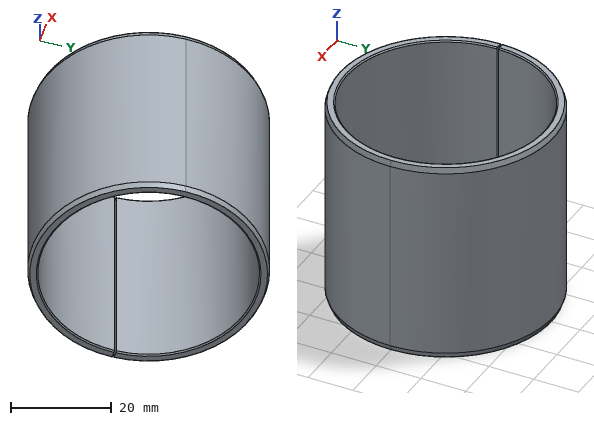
import cadquery as cq

outer_diameter = 48.0
wall = 2.0
length = 45.0

outer_chamfer_length = 1.2
outer_chamfer_depth = 0.45
bore_chamfer = 0.3

slit_width = 0.4

outer_radius = outer_diameter / 2
bore_radius = outer_radius - wall
half_length = length / 2


def make_sleeve():
    """Revolve the chamfered wall section about the Z axis."""
    section = [
        (bore_radius, -half_length + bore_chamfer),
        (bore_radius + bore_chamfer, -half_length),
        (outer_radius - outer_chamfer_depth, -half_length),
        (outer_radius, -half_length + outer_chamfer_length),
        (outer_radius, half_length - outer_chamfer_length),
        (outer_radius - outer_chamfer_depth, half_length),
        (bore_radius + bore_chamfer, half_length),
        (bore_radius, half_length - bore_chamfer),
    ]
    return cq.Workplane("XZ").polyline(section).close().revolve(360, (0, 0, 0), (0, 1, 0))


def make_slit():
    """Block that opens the -X wall over the full length."""
    block = cq.Workplane("XY").box(outer_radius, slit_width, length, centered=(False, False, True))
    return block.translate((-outer_radius, 0, 0))


result = make_sleeve().cut(make_slit())